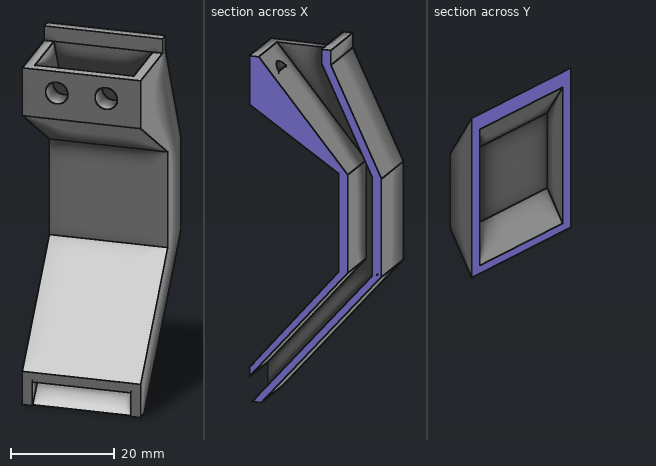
import cadquery as cq

width = 24.0
wall = 2.0

rim_height = 70.5
tab_height = 3.0
mouth_back = 17.0
mouth_face_height = 10.0

neck_front = 18.5
neck_back = 27.5
neck_bottom = 28.5
neck_top = 48.5

foot_face_height = 7.0
foot_base_depth = 2.5

hole_diameter = 4.5
hole_depth = 5.0
hole_spacing = 10.0
hole_drop = 4.5

tab_top = rim_height + tab_height
tab_front = mouth_back - wall
mouth_face_bottom = rim_height - mouth_face_height
outlet_top = foot_face_height - wall
hole_height = rim_height - hole_drop


def extrude_profile(points, thickness):
    """Extrude a closed (Y, Z) outline symmetrically about X = 0."""
    return cq.Workplane("YZ").polyline(points).close().extrude(thickness / 2, both=True)


def make_body():
    """Solid bent chute with the upright tab along the back of its rim."""
    outline = [
        (0, rim_height),
        (tab_front, rim_height),
        (tab_front, tab_top),
        (mouth_back, tab_top),
        (mouth_back, rim_height),
        (neck_back, neck_top),
        (neck_back, neck_bottom),
        (foot_base_depth, 0),
        (0, 0),
        (0, foot_face_height),
        (neck_front, neck_bottom),
        (neck_front, neck_top),
        (0, mouth_face_bottom),
    ]
    return extrude_profile(outline, width)


def make_channel():
    """Passage from the open mouth through the neck to the outlet in the foot."""
    outline = [
        (wall, rim_height),
        (tab_front, rim_height),
        (neck_back - wall, neck_top),
        (neck_back - wall, neck_bottom),
        (foot_base_depth - wall, 0),
        (0, 0),
        (0, outlet_top),
        (neck_front + wall, neck_bottom),
        (neck_front + wall, neck_top),
    ]
    return extrude_profile(outline, width - 2 * wall)


def make_mounting_holes():
    """Pair of flat-bottomed holes bored into the mouth's front face along +Y."""
    centres = [(side * hole_spacing / 2, hole_height) for side in (-1, 1)]
    return cq.Workplane("XZ").pushPoints(centres).circle(hole_diameter / 2).extrude(-hole_depth)


result = make_body().cut(make_channel()).cut(make_mounting_holes())